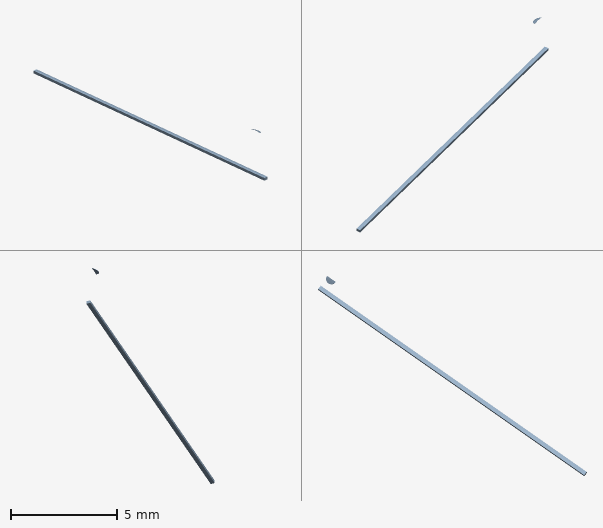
import cadquery as cq
import math

bar_length = 15.68
bar_width = 0.2
bar_height = 0.14

overall_width = 0.35
overall_height = 2.37
shell_width = 0.52
shell_radius = shell_width / 2
shell_thickness = 0.02
shell_rise = 0.024
shell_tilt = 22.0
shell_end_offset = 0.7

dome_radius = (shell_radius**2 + shell_rise**2) / (2 * shell_rise)


def make_bar():
    return cq.Workplane("XY").box(bar_length, bar_width, bar_height, centered=False)


def make_shell():
    blank = (
        cq.Workplane("XY")
        .moveTo(-shell_radius, 0)
        .threePointArc((0, shell_radius), (shell_radius, 0))
        .close()
        .extrude(2 * shell_rise + shell_thickness)
        .translate((0, 0, -2 * shell_rise - shell_thickness))
    )
    centre = (0, 0, -dome_radius)
    outer_sphere = cq.Workplane("XY").sphere(dome_radius).translate(centre)
    inner_sphere = cq.Workplane("XY").sphere(dome_radius - shell_thickness).translate(centre)
    shell = blank.intersect(outer_sphere).cut(inner_sphere)

    tilt = math.radians(shell_tilt)
    rim_reach = shell_radius * math.cos(tilt) - shell_rise * math.sin(tilt)
    shell = shell.rotate((0, 0, 0), (1, 0, 0), -shell_tilt)
    return shell.translate((bar_length - shell_end_offset, overall_width - rim_reach, overall_height))


bar = make_bar()
shell = make_shell()

result = cq.Compound.makeCompound([bar.val(), *shell.vals()])